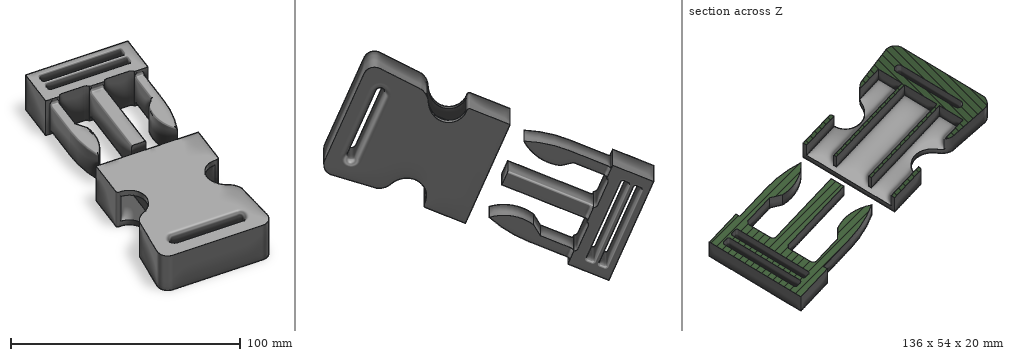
import cadquery as cq
import math


overall_length = 136.0
thickness = 20.0
frame_width = 50.0
frame_half = frame_width / 2
prong_height = 14.3

broad_faces = "<Z or >Z"
rim_margin = 0.7

frame_length = 19.5
recess_depth = 1.2
root_radius = 1.9
plug_slot_width = 4.0
plug_slot_length = 40.0
plug_slot_bar = 2.0
plug_slot_pitch = plug_slot_width + plug_slot_bar
plug_slot_count = 2
plug_slot_start = 3.1
plug_slot_corner = 1.0
plug_slot_rounding = 0.99

tongue_end = 60.0
tongue_half = 3.5
arm_outer = 23.0
arm_inner = 18.5
arm_bend = 39.0
arm_tip = (59.2, 19.3)
ramp_start = 35.2
barb_start = (40.0, 15.0)
barb_middle = (50.3, 14.8)
prong_rounding = 1.02

socket_start = 68.0
mouth_corner_radius = 1.1
notch_radius = 8.3
notch_centre = (96.3, 23.1)
notch_arc_end = 99.1
notch_flank_end = (105.0, 20.7)
shoulder = (109.9, frame_half)
strap_half = 27.5
strap_corner_radius = 5.0

side_wall = 2.0
cavity_end = 120.1
divider_start = 70.7
divider_thickness = 1.5
divider_offset = 9.5

strap_slot_x = 125.8
strap_slot_width = 4.0
strap_slot_length = 36.0
strap_slot_rounding = 3.0


def mirrored(solid):
    """The solid together with its copy on the other side of the XZ plane."""
    return solid.union(solid.mirror("XZ"))


def slab(outline):
    """A closed XY outline extruded to the full thickness, centred on Z."""
    return outline.extrude(thickness / 2, both=True)


def slot_rims(centre_x, width):
    """Selector for the edges centred within an X range, leaving out the outer long sides."""
    half_y = frame_half - rim_margin
    return cq.selectors.BoxSelector(
        (centre_x - width / 2, -half_y, -thickness),
        (centre_x + width / 2, half_y, thickness),
    )


def recess():
    """Full-height recess whose two corners are fillets tangent to the prong sides."""
    floor_x = frame_length - recess_depth
    prong_end = floor_x + root_radius
    outline = (
        cq.Workplane("XY")
        .moveTo(prong_end, tongue_half)
        .radiusArc((floor_x, tongue_half + root_radius), root_radius)
        .lineTo(floor_x, arm_inner - root_radius)
        .radiusArc((prong_end, arm_inner), root_radius)
        .close()
    )
    return slab(outline)


def arm():
    """Full-height arm: a straight strip that widens inward into a pointed barb."""
    outline = (
        cq.Workplane("XY")
        .moveTo(frame_length - recess_depth, arm_outer)
        .lineTo(arm_bend, arm_outer)
        .tangentArcPoint(arm_tip, relative=False)
        .threePointArc(barb_middle, barb_start)
        .lineTo(ramp_start, arm_inner)
        .lineTo(frame_length - recess_depth, arm_inner)
        .close()
    )
    return slab(outline)


def tongue():
    """Full-height straight tongue on the centre line."""
    return cq.Workplane("XY").box(
        tongue_end - frame_length, 2 * tongue_half, thickness, centered=(False, True, True)
    ).translate((frame_length, 0, 0))


def prong_side_profile():
    """Prong height along X, flaring out with a fillet at top and bottom where it meets the frame."""
    half = prong_height / 2
    flare_end = frame_length + root_radius
    flare_half = half + root_radius
    return (
        cq.Workplane("XZ")
        .moveTo(frame_length, -flare_half)
        .radiusArc((flare_end, -half), root_radius)
        .lineTo(tongue_end, -half)
        .lineTo(tongue_end, half)
        .lineTo(flare_end, half)
        .radiusArc((frame_length, flare_half), root_radius)
        .close()
        .extrude(frame_half, both=True)
    )


def long_edges(level):
    """Selector for the prong edges at one Z level, leaving out those at the root and tongue end."""
    margin = 0.3
    return cq.selectors.BoxSelector(
        (frame_length + root_radius, -frame_half, level - margin),
        (tongue_end - margin, frame_half, level + margin),
    )


def prongs():
    """Tongue rounded along its top and bottom edges, and two arms rounded along the top only."""
    profile = prong_side_profile()
    top = long_edges(prong_height / 2)
    bottom = long_edges(-prong_height / 2)
    rounded_arm = arm().intersect(profile).edges(top).fillet(prong_rounding)
    rounded_tongue = tongue().intersect(profile).edges(top + bottom).fillet(prong_rounding)
    return mirrored(rounded_arm).union(rounded_tongue)


def plug_slot(start_x):
    """Strap slot with small corner radii."""
    centre_x = start_x + plug_slot_width / 2
    return (
        cq.Workplane("XY")
        .box(plug_slot_width, plug_slot_length, thickness)
        .edges("|Z")
        .fillet(plug_slot_corner)
        .translate((centre_x, 0, 0))
    )


def make_plug():
    """Strap frame with two slots, a tongue and two sprung arms."""
    frame = cq.Workplane("XY").box(
        frame_length, frame_width, thickness, centered=(False, True, True)
    )
    for index in range(plug_slot_count):
        frame = frame.cut(plug_slot(plug_slot_start + index * plug_slot_pitch))
    rims = slot_rims(frame_length / 2, frame_length - 2 * rim_margin)
    frame = frame.faces(broad_faces).edges(rims).fillet(plug_slot_rounding)
    return frame.cut(mirrored(recess())).union(prongs())


def socket_half_outline():
    """+Y half of the socket, with the finger notch behind the mouth."""
    corner = mouth_corner_radius
    notch_left = notch_centre[0] - notch_radius
    notch_bottom = notch_centre[1] - notch_radius
    arc_end_drop = math.sqrt(notch_radius**2 - (notch_arc_end - notch_centre[0]) ** 2)
    return (
        cq.Workplane("XY")
        .moveTo(socket_start, 0)
        .lineTo(socket_start, frame_half)
        .lineTo(notch_left - corner, frame_half)
        .radiusArc((notch_left, frame_half - corner), corner)
        .lineTo(notch_left, notch_centre[1])
        .threePointArc(
            (notch_centre[0], notch_bottom), (notch_arc_end, notch_centre[1] - arc_end_drop)
        )
        .tangentArcPoint(notch_flank_end, relative=False)
        .tangentArcPoint(shoulder, relative=False)
        .lineTo(overall_length, strap_half)
        .lineTo(overall_length, 0)
        .close()
    )


def divider():
    """Wall between the tongue chamber and the +Y arm chamber, set back from the mouth."""
    return cq.Workplane("XY").box(
        cavity_end - divider_start, divider_thickness, prong_height, centered=(False, True, True)
    ).translate((divider_start, divider_offset, 0))


def cavity():
    """Rectangular cavity open at the mouth and through both notches, less the two dividers."""
    pocket = cq.Workplane("XY").box(
        cavity_end - socket_start, frame_width - 2 * side_wall, prong_height,
        centered=(False, True, True),
    ).translate((socket_start, 0, 0))
    return pocket.cut(mirrored(divider()))


def make_socket():
    """Hollow body with a finger notch on each side and a rounded strap slot."""
    body = mirrored(slab(socket_half_outline()))
    body = body.edges("|Z and >X").fillet(strap_corner_radius)
    slot = (
        cq.Workplane("XY")
        .center(strap_slot_x, 0)
        .slot2D(strap_slot_length, strap_slot_width, 90)
        .extrude(thickness / 2, both=True)
    )
    body = body.cut(slot)
    rims = slot_rims(strap_slot_x, 2 * strap_slot_width)
    body = body.faces(broad_faces).edges(rims).fillet(strap_slot_rounding)
    return body.cut(cavity())


plug = make_plug()
socket = make_socket()

result = cq.Compound.makeCompound([plug.val(), socket.val()])